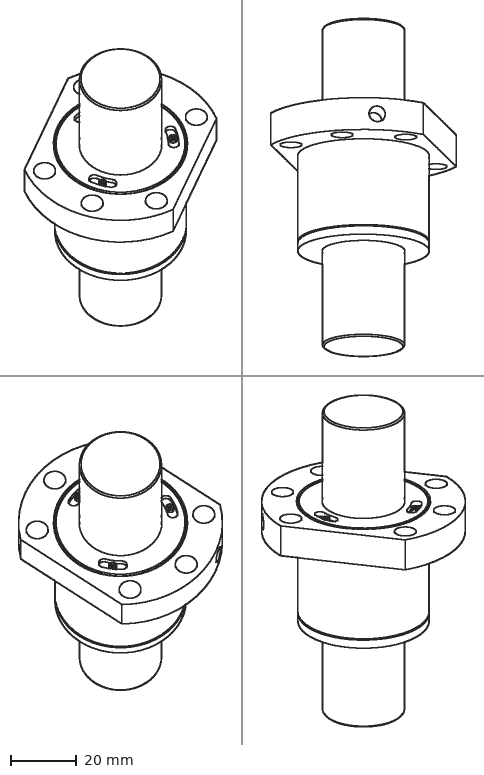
import cadquery as cq
import math

shaft_diameter = 25
shaft_length = 100
shaft_chamfer = 0.5

nut_bottom = 30
nut_length = 40
nut_diameter = 40
nut_top = nut_bottom + nut_length
clearance_diameter = 25.2
clearance_depth = 2

flange_diameter = 62
flange_width = 48
flange_thickness = 10
flange_bottom = nut_top - flange_thickness

hole_diameter = 6.6
hole_circle_radius = 25.5
hole_spacing = 45
hole_group_centres = (90, 270)
hole_angles = [
    centre + step * hole_spacing for centre in hole_group_centres for step in (-1, 0, 1)
]

oil_hole_diameter = 4.9
oil_hole_depth = 8
oil_hole_angle = hole_group_centres[0] + hole_spacing / 2

body_groove_bottom = 32.7
body_groove_width = 0.3
body_groove_depth = 0.3
face_groove_diameter = nut_diameter
face_groove_depth = 0.4

slot_angles = (30, 150, 270)
slot_radius = 16.2
slot_width = 3.2
slot_half_angle = 9.8
slot_depth = 1.5
screw_diameter = 2.4
screw_height = 1.1
recess_length = 2
recess_width = 0.4
recess_depth = 0.5
recess_turns = (45, 135)


def cylinder(diameter, bottom, height):
    return cq.Workplane("XY").workplane(offset=bottom).circle(diameter / 2).extrude(height)


def ring(outer_diameter, inner_diameter, bottom, height):
    return cylinder(outer_diameter, bottom, height).cut(cylinder(inner_diameter, bottom, height))


def polar(radius, angle):
    return (
        radius * math.cos(math.radians(angle)),
        radius * math.sin(math.radians(angle)),
    )


def make_shaft():
    return cylinder(shaft_diameter, 0, shaft_length).edges("%CIRCLE").chamfer(shaft_chamfer)


def make_flange():
    flats = cq.Workplane("XY").box(
        flange_width, flange_diameter, flange_thickness, centered=(True, True, False)
    )
    disc = cylinder(flange_diameter, flange_bottom, flange_thickness)
    return disc.intersect(flats.translate((0, 0, flange_bottom)))


def mounting_holes():
    return (
        cq.Workplane("XY")
        .workplane(offset=flange_bottom)
        .pushPoints([polar(hole_circle_radius, angle) for angle in hole_angles])
        .circle(hole_diameter / 2)
        .extrude(flange_thickness)
    )


def oil_hole():
    return (
        cq.Workplane("YZ")
        .workplane(offset=flange_diameter / 2 - oil_hole_depth)
        .center(0, flange_bottom + flange_thickness / 2)
        .circle(oil_hole_diameter / 2)
        .extrude(oil_hole_depth)
        .rotate((0, 0, 0), (0, 0, 1), oil_hole_angle)
    )


def face_groove():
    radius = face_groove_diameter / 2
    section = [
        (radius - face_groove_depth, nut_top),
        (radius, nut_top - face_groove_depth),
        (radius + face_groove_depth, nut_top),
    ]
    return cq.Workplane("XZ").polyline(section).close().revolve(360, (0, 0, 0), (0, 1, 0))


def curved_slot(angle):
    outer = slot_radius + slot_width / 2
    inner = slot_radius - slot_width / 2
    start = angle - slot_half_angle
    end = angle + slot_half_angle
    tip_angle = math.degrees(math.atan(slot_width / 2 / slot_radius))
    tip_radius = math.hypot(slot_radius, slot_width / 2)
    return (
        cq.Workplane("XY")
        .workplane(offset=nut_top - slot_depth)
        .moveTo(*polar(outer, start))
        .threePointArc(polar(outer, angle), polar(outer, end))
        .threePointArc(polar(tip_radius, end + tip_angle), polar(inner, end))
        .threePointArc(polar(inner, angle), polar(inner, start))
        .threePointArc(polar(tip_radius, start - tip_angle), polar(outer, start))
        .close()
        .extrude(slot_depth)
    )


def slot_screw(angle):
    floor = nut_top - slot_depth
    recess_bottom = floor + screw_height - recess_depth
    recess = (
        cq.Workplane("XY")
        .workplane(offset=recess_bottom)
        .rect(recess_length, recess_width)
        .extrude(recess_depth)
    )
    screw = cylinder(screw_diameter, floor, screw_height)
    for turn in recess_turns:
        screw = screw.cut(recess.rotate((0, 0, 0), (0, 0, 1), turn))
    return screw.translate((slot_radius, 0, 0)).rotate((0, 0, 0), (0, 0, 1), angle)


nut = cylinder(nut_diameter, nut_bottom, nut_length).union(make_flange())
nut = nut.cut(mounting_holes()).cut(oil_hole())
nut = nut.cut(
    ring(
        nut_diameter,
        nut_diameter - 2 * body_groove_depth,
        body_groove_bottom,
        body_groove_width,
    )
)
nut = nut.cut(face_groove())

result = nut.union(make_shaft())
for clearance_bottom in (nut_bottom, nut_top - clearance_depth):
    result = result.cut(
        ring(clearance_diameter, shaft_diameter, clearance_bottom, clearance_depth)
    )
for slot_angle in slot_angles:
    result = result.cut(curved_slot(slot_angle)).union(slot_screw(slot_angle))